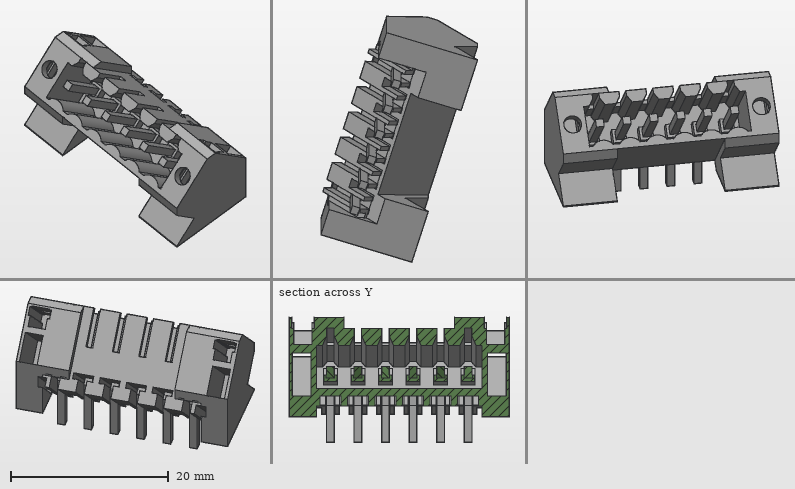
import cadquery as cq
import math


PIN_COUNT = 6
PITCH = 3.5
PIN_SIZE = 1.0
PIN_TAIL_LENGTH = 3.25
PIN_TAIL_Y = -2.9
pin_xs = [(i - (PIN_COUNT - 1) / 2) * PITCH for i in range(PIN_COUNT)]

LENGTH = 27.95
OVERALL_DEPTH = 13.15

BLOCK_WIDTH = 7.0
BLOCK_DEPTH = 12.1
BLOCK_HEIGHT = 13.0
SHOULDER_Z = 7.65
LIP_Z = 6.25
FOOT_EDGE = 0.17
slope_run = BLOCK_HEIGHT - SHOULDER_Z
notch_depth = (LIP_Z - FOOT_EDGE) / 2

BODY_TOP = 3.9
LOWER_WALL = 0.65
BODY_DEPTH = 9.48
body_width = PIN_COUNT * PITCH

CAVITY_TOP = 2.35
CAVITY_DEPTH = 7.88
KEY_SLOT_WIDTH = 0.9
KEY_SLOT_DEPTH = 5.05
KEY_FLARE_WIDTH = 2.0
KEY_FLARE_START = 3.25
KEY_ROOF = 0.53
RIB_RADIUS = 1.65
RIB_HEIGHT = 0.67
COLLAR_WIDTH = 1.73
COLLAR_HEIGHT = 1.75
COLLAR_FRONT_DEPTH = 6.65

PIN_SLOT_WIDTH = 1.15
PIN_SLOT_FLOOR_DEPTH = 8.6
CROSS_SLOT_WIDTH = 2.63
CROSS_SLOT_REAR_DEPTH = 9.35
POST_NOTCH_WIDTH = 1.23
END_NOTCH_DEPTH = 9.87

SCREW_X = (PIN_COUNT + 1) / 2 * PITCH
SCREW_HEIGHT = 0.15
SCREW_DIAMETER = 2.25
NUT_POCKET_FRONT = 1.25
NUT_POCKET_REAR = 3.9
NUT_EAR_WIDTH = 2.82
NUT_EAR_FRONT = 1.37
NUT_EAR_REAR = 2.5
REAR_POCKET_X = 12.38
REAR_POCKET_WIDTH = 2.35
REAR_POCKET_FRONT = 4.72

DIAGONAL = math.sqrt(0.5)
body_bottom = BODY_TOP - slope_run / DIAGONAL
body_floor = body_bottom + LOWER_WALL
post_depth = (OVERALL_DEPTH - slope_run) / DIAGONAL
face_edge_y = slope_run - BLOCK_DEPTH
origin_y = face_edge_y - BODY_TOP * DIAGONAL
origin_z = BLOCK_HEIGHT - BODY_TOP * DIAGONAL
slant_plane = cq.Plane(origin=(0, origin_y, origin_z), xDir=(1, 0, 0), normal=(0, -1, 1))

rear_edge_depth = (origin_z - origin_y - SHOULDER_Z) * DIAGONAL
block_top = (SHOULDER_Z - origin_z - origin_y) * DIAGONAL

heel_depth = (origin_z - origin_y) * DIAGONAL
foot_height = BODY_DEPTH - origin_z / DIAGONAL


def slant_plane_at(depth):
    """Slanted workplane at a depth behind the mating face."""
    return cq.Workplane(slant_plane).workplane(offset=-depth)


def slant_box(x, width, low, high, front, rear):
    """Box centred on x, between two heights on the slant and two depths behind the mating face."""
    return (
        slant_plane_at(front)
        .center(x, (low + high) / 2)
        .rect(width, high - low)
        .extrude(front - rear)
    )


def end_block(side):
    """Block with a pointed top and a V notch under its front lip, open behind the slanted body.

    side is -1 for the left block and 1 for the right one.
    """
    notch_y = notch_depth - BLOCK_DEPTH
    outline = [
        (0, 0),
        (0, SHOULDER_Z),
        (-slope_run, BLOCK_HEIGHT),
        (face_edge_y, BLOCK_HEIGHT),
        (-BLOCK_DEPTH, SHOULDER_Z),
        (-BLOCK_DEPTH, LIP_Z),
        (notch_y, LIP_Z - notch_depth),
        (-BLOCK_DEPTH, FOOT_EDGE),
        (-BLOCK_DEPTH, 0),
    ]
    block = cq.Workplane("YZ").polyline(outline).close().extrude(BLOCK_WIDTH / 2, both=True)
    block = block.translate((side * (LENGTH - BLOCK_WIDTH) / 2, 0, 0))
    rear_space = slant_box(0, body_width, foot_height, BODY_TOP, BODY_DEPTH, heel_depth)
    return block.cut(rear_space)


def slanted_body():
    """Slanted bar that holds the cavity, carried on to the rear ends of the posts."""
    body = slant_box(0, body_width, body_bottom, BODY_TOP, 0, BODY_DEPTH)
    return body.union(slant_box(0, body_width, body_floor, BODY_TOP, 0, post_depth))


def rear_slots():
    """T-shaped slot behind each pin, which leaves one post between each two pins."""
    slots = cq.Workplane(slant_plane)
    for x in pin_xs:
        stem = slant_box(
            x, PIN_SLOT_WIDTH, body_floor, BODY_TOP, PIN_SLOT_FLOOR_DEPTH, post_depth
        )
        cross = slant_box(
            x, CROSS_SLOT_WIDTH, body_floor, BODY_TOP, PIN_SLOT_FLOOR_DEPTH, CROSS_SLOT_REAR_DEPTH
        )
        slots = slots.union(stem).union(cross)
    return slots


def post_notches():
    """Notches under the whole posts, and through the half posts at both ends."""
    notches = cq.Workplane(slant_plane)
    for x in pin_xs[:-1]:
        notches = notches.union(
            slant_box(x + PITCH / 2, POST_NOTCH_WIDTH, body_floor, 0, BODY_DEPTH, post_depth)
        )
    for side in (-1, 1):
        notches = notches.union(
            slant_box(side * body_width / 2, POST_NOTCH_WIDTH, body_floor, BODY_TOP,
                      END_NOTCH_DEPTH, post_depth)
        )
    return notches


def cavity():
    """Open mating cavity: ribs along its lower wall and a flared key slot above each pin."""
    space = slant_box(0, body_width, body_floor, CAVITY_TOP, 0, CAVITY_DEPTH)
    for x in pin_xs:
        rib = (
            slant_plane_at(0)
            .center(x, body_floor + RIB_HEIGHT - RIB_RADIUS)
            .circle(RIB_RADIUS)
            .extrude(-CAVITY_DEPTH)
        )
        collar = slant_box(
            x, COLLAR_WIDTH, -COLLAR_HEIGHT / 2, COLLAR_HEIGHT / 2, COLLAR_FRONT_DEPTH, CAVITY_DEPTH
        )
        space = space.cut(rib).cut(collar).union(key_slot(x))
    return space


def key_slot(x):
    """Flared groove along the whole cavity, with a short slot through the roof above it."""
    half_slot = KEY_SLOT_WIDTH / 2
    half_flare = KEY_FLARE_WIDTH / 2
    groove_top = BODY_TOP - KEY_ROOF
    outline = [
        (x - half_flare, CAVITY_TOP),
        (x - half_slot, KEY_FLARE_START),
        (x - half_slot, groove_top),
        (x + half_slot, groove_top),
        (x + half_slot, KEY_FLARE_START),
        (x + half_flare, CAVITY_TOP),
    ]
    groove = slant_plane_at(0).polyline(outline).close().extrude(-CAVITY_DEPTH)
    return groove.union(slant_box(x, KEY_SLOT_WIDTH, groove_top, BODY_TOP, 0, KEY_SLOT_DEPTH))


def screw_mount(side):
    """Screw hole in the mating face, the nut pocket it runs into and the pocket behind that."""
    x = side * SCREW_X
    hole = (
        slant_plane_at(0)
        .center(x, SCREW_HEIGHT)
        .circle(SCREW_DIAMETER / 2)
        .extrude(-NUT_POCKET_FRONT)
    )
    nut_pocket = slant_box(
        x, SCREW_DIAMETER, body_floor, block_top, NUT_POCKET_FRONT, NUT_POCKET_REAR
    )
    nut_ears = slant_box(x, NUT_EAR_WIDTH, body_floor, block_top, NUT_EAR_FRONT, NUT_EAR_REAR)
    rear_pocket = slant_box(
        side * REAR_POCKET_X, REAR_POCKET_WIDTH, body_floor, block_top,
        REAR_POCKET_FRONT, rear_edge_depth
    )
    return hole.union(nut_pocket).union(nut_ears).union(rear_pocket)


def pin(x):
    """Square pin: a tail square to the board, bent 45 degrees to end flush with the mating face."""
    half = PIN_SIZE / 2
    axis_sum = origin_y + origin_z
    half_across = half / DIAGONAL
    tip_rise = half * DIAGONAL
    rear_y = PIN_TAIL_Y + half
    front_y = PIN_TAIL_Y - half
    outline = [
        (front_y, -PIN_TAIL_LENGTH),
        (rear_y, -PIN_TAIL_LENGTH),
        (rear_y, axis_sum + half_across - rear_y),
        (origin_y + tip_rise, origin_z + tip_rise),
        (origin_y - tip_rise, origin_z - tip_rise),
        (front_y, axis_sum - half_across - front_y),
    ]
    return cq.Workplane("YZ").polyline(outline).close().extrude(half, both=True).translate((x, 0, 0))


pins = [pin(x) for x in pin_xs]

housing = slanted_body().union(end_block(-1)).union(end_block(1))
housing = housing.cut(cavity()).cut(rear_slots()).cut(post_notches())
for side in (-1, 1):
    housing = housing.cut(screw_mount(side))
for each_pin in pins:
    housing = housing.cut(each_pin)

result = cq.Compound.makeCompound([housing.val(), *[each_pin.val() for each_pin in pins]])